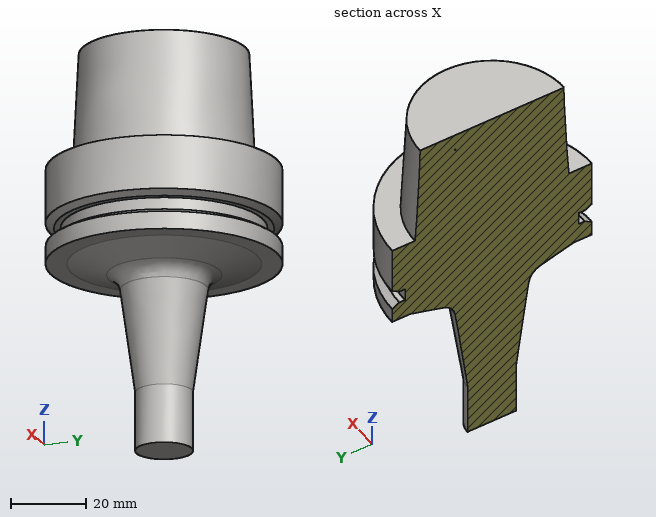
import cadquery as cq
import math

overall_length = 109.9
taper_length = 32.0
flange_length = 26.0

taper_base_diameter = 48.6
taper_rate = 0.1
taper_top_diameter = taper_base_diameter - taper_rate * taper_length

flange_diameter = 62.94
groove_floor_diameter = 54.95
groove_width = 3.75
groove_center_depth = 18.0
groove_chamfer_height = 1.3
groove_chamfer_angle = 30.0

shoulder_diameter = 51.6
shoulder_angle = 16.0
neck_angle = 8.0
neck_fillet_radius = 5.0

nose_diameter = 15.4
nose_length = 16.25

taper_top_z = taper_length
flange_bottom_z = -flange_length
nose_bottom_z = taper_length - overall_length
nose_top_z = nose_bottom_z + nose_length
groove_top_z = -groove_center_depth + groove_width / 2
groove_bottom_z = -groove_center_depth - groove_width / 2

flange_radius = flange_diameter / 2
groove_floor_radius = groove_floor_diameter / 2
groove_lip_radius = flange_radius - groove_chamfer_height / math.tan(math.radians(groove_chamfer_angle))
shoulder_radius = shoulder_diameter / 2
nose_radius = nose_diameter / 2

neck_slope = math.tan(math.radians(neck_angle))
shoulder_slope = math.tan(math.radians(shoulder_angle))
shoulder_to_nose_height = flange_bottom_z - nose_top_z
shoulder_height = (
    (shoulder_radius - nose_radius - shoulder_to_nose_height * neck_slope)
    * shoulder_slope / (1 - neck_slope * shoulder_slope)
)
neck_root_z = flange_bottom_z - shoulder_height
neck_root_radius = nose_radius + (neck_root_z - nose_top_z) * neck_slope


def make_turned_body():
    """Revolve the half profile, from the nose up to the taper, about Z."""
    profile = (
        cq.Workplane("XZ")
        .moveTo(0, nose_bottom_z)
        .lineTo(nose_radius, nose_bottom_z)
        .lineTo(nose_radius, nose_top_z)
        .lineTo(neck_root_radius, neck_root_z)
        .lineTo(shoulder_radius, flange_bottom_z)
        .lineTo(flange_radius, flange_bottom_z)
        .lineTo(flange_radius, groove_bottom_z - groove_chamfer_height)
        .lineTo(groove_lip_radius, groove_bottom_z)
        .lineTo(groove_floor_radius, groove_bottom_z)
        .lineTo(groove_floor_radius, groove_top_z)
        .lineTo(groove_lip_radius, groove_top_z)
        .lineTo(flange_radius, groove_top_z + groove_chamfer_height)
        .lineTo(flange_radius, 0)
        .lineTo(taper_base_diameter / 2, 0)
        .lineTo(taper_top_diameter / 2, taper_top_z)
        .lineTo(0, taper_top_z)
        .close()
    )
    return profile.revolve(360, (0, 0, 0), (0, 1, 0))


def round_neck_root(body):
    """Blend the neck into the shoulder with a concave fillet."""
    root_circle_center = (0, 0, neck_root_z)
    return body.edges(cq.NearestToPointSelector(root_circle_center)).fillet(neck_fillet_radius)


result = round_neck_root(make_turned_body())